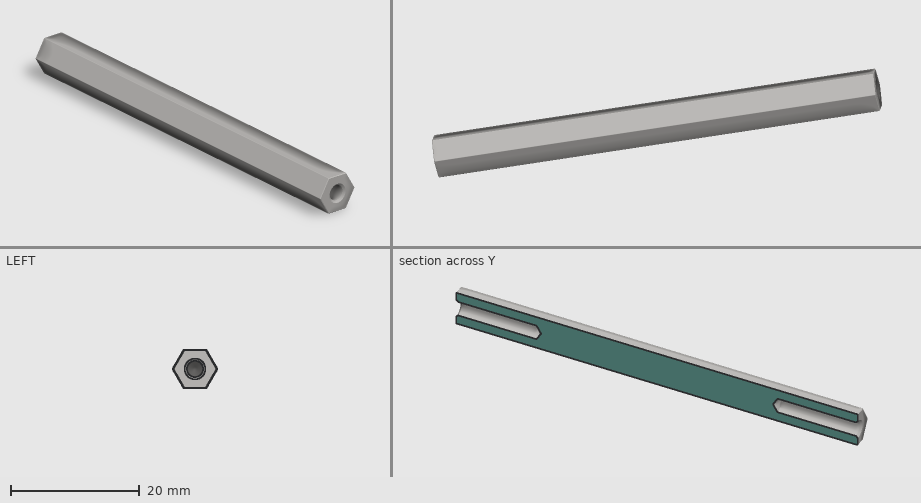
import cadquery as cq
import math

length = 70.0
across_flats = 6.0
across_corners = across_flats / math.cos(math.pi / 6)

corner_radius = 0.1
end_chamfer = 0.1

hole_diameter = 2.5
mouth_diameter = 3.2
hole_depth = 14.0
drill_point_angle = 118.0


def hexagonal_bar():
    """Hexagonal bar with rounded corners and chamfered end faces."""
    bar = cq.Workplane("YZ").polygon(6, across_corners).extrude(length)
    bar = bar.edges("|X").fillet(corner_radius)
    return bar.faces("<X or >X").chamfer(end_chamfer)


def end_hole():
    """Cutter for the hole that enters the X = 0 end."""
    hole_radius = hole_diameter / 2
    mouth_radius = mouth_diameter / 2
    countersink_depth = mouth_radius - hole_radius
    tip_length = hole_radius / math.tan(math.radians(drill_point_angle / 2))
    profile = [
        (0, 0),
        (0, mouth_radius),
        (countersink_depth, hole_radius),
        (hole_depth, hole_radius),
        (hole_depth + tip_length, 0),
    ]
    return cq.Workplane("XY").polyline(profile).close().revolve(360, (0, 0), (1, 0))


near_hole = end_hole()
far_hole = near_hole.mirror("YZ").translate((length, 0, 0))
result = hexagonal_bar().cut(near_hole).cut(far_hole)